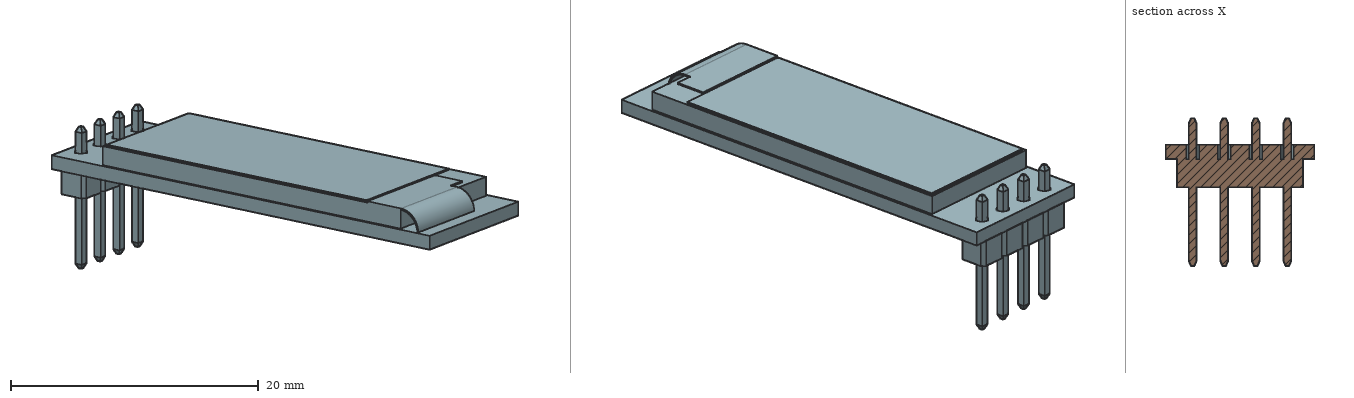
import cadquery as cq

BOARD_LENGTH = 38.0
BOARD_WIDTH = 12.0
BOARD_THICKNESS = 1.18

PIN_COUNT = 4
PIN_PITCH = 2.55
HEADER_INSET = 0.057
PIN_SIZE = 0.65
PIN_RISE = 2.13
PIN_TOTAL = 11.95
PIN_TIP_SIZE = 0.25
PIN_TIP_LENGTH = 0.4
HOLE_DIAMETER = 1.03
HOUSING_HEIGHT = 2.28
HOUSING_CHAMFER = 0.3

PANEL_START = 4.98
PANEL_LENGTH = 29.95
PANEL_WIDTH = 11.55
DISPLAY_HEIGHT = 1.7
FILM_THICKNESS = 0.1
GLASS_LENGTH = 26.15
GLASS_INSET = 0.23

RIBBON_GAP = 0.23
RIBBON_WIDE_LENGTH = 2.75
RIBBON_WIDE_WIDTH = 9.12
RIBBON_WIDTH = 7.55
CURL_RADIUS = 1.8

board_top = BOARD_THICKNESS
center_y = BOARD_WIDTH / 2
pin_x = HEADER_INSET + PIN_PITCH / 2
pin_places = [
    (pin_x, center_y + (i - (PIN_COUNT - 1) / 2) * PIN_PITCH) for i in range(PIN_COUNT)
]
pin_top = board_top + PIN_RISE
pin_bottom = pin_top - PIN_TOTAL
panel_height = DISPLAY_HEIGHT - FILM_THICKNESS
panel_top = board_top + panel_height
display_top = board_top + DISPLAY_HEIGHT
panel_end = PANEL_START + PANEL_LENGTH
panel_front = center_y - PANEL_WIDTH / 2
glass_start = PANEL_START + GLASS_INSET
ribbon_start = glass_start + GLASS_LENGTH + RIBBON_GAP


def block(x, y, z, length, width, height):
    """Box with its lowest corner at (x, y, z)."""
    return cq.Workplane("XY").box(length, width, height, centered=False).translate((x, y, z))


def make_board():
    board = block(0, 0, 0, BOARD_LENGTH, BOARD_WIDTH, BOARD_THICKNESS)
    holes = (
        cq.Workplane("XY").pushPoints(pin_places).circle(HOLE_DIAMETER / 2).extrude(BOARD_THICKNESS)
    )
    return board.cut(holes)


def make_housing(x, y):
    """Plastic block around one pin, with chamfered upright corners."""
    return (
        cq.Workplane("XY", origin=(x, y, -HOUSING_HEIGHT))
        .rect(PIN_PITCH, PIN_PITCH)
        .extrude(HOUSING_HEIGHT)
        .edges("|Z")
        .chamfer(HOUSING_CHAMFER)
    )


def make_pin_tip(x, y, base_z, direction):
    """Blunt pyramid from base_z, pointing up (direction 1) or down (direction -1)."""
    return (
        cq.Workplane(cq.Plane(origin=(x, y, base_z), xDir=(1, 0, 0), normal=(0, 0, direction)))
        .rect(PIN_SIZE, PIN_SIZE)
        .workplane(offset=PIN_TIP_LENGTH)
        .rect(PIN_TIP_SIZE, PIN_TIP_SIZE)
        .loft(ruled=True)
    )


def make_pin(x, y):
    shank_bottom = pin_bottom + PIN_TIP_LENGTH
    shank_top = pin_top - PIN_TIP_LENGTH
    shank = (
        cq.Workplane("XY", origin=(x, y, shank_bottom))
        .rect(PIN_SIZE, PIN_SIZE)
        .extrude(shank_top - shank_bottom)
    )
    return shank.union(make_pin_tip(x, y, shank_top, 1)).union(make_pin_tip(x, y, shank_bottom, -1))


def make_display():
    panel = block(PANEL_START, panel_front, board_top, PANEL_LENGTH, PANEL_WIDTH, panel_height)
    glass = block(
        glass_start,
        panel_front + GLASS_INSET,
        panel_top,
        GLASS_LENGTH,
        PANEL_WIDTH - 2 * GLASS_INSET,
        FILM_THICKNESS,
    )
    return panel.union(glass)


def make_ribbon():
    wide = block(
        ribbon_start, panel_front, panel_top, RIBBON_WIDE_LENGTH, RIBBON_WIDE_WIDTH, FILM_THICKNESS
    )
    narrow = block(
        ribbon_start, panel_front, panel_top, panel_end - ribbon_start, RIBBON_WIDTH, FILM_THICKNESS
    )
    curl_center_z = display_top - CURL_RADIUS
    curl = (
        cq.Workplane("XZ", origin=(panel_end, panel_front + RIBBON_WIDTH, curl_center_z))
        .circle(CURL_RADIUS)
        .circle(CURL_RADIUS - FILM_THICKNESS)
        .extrude(RIBBON_WIDTH)
    )
    quarter = block(panel_end, panel_front, board_top, CURL_RADIUS, RIBBON_WIDTH, CURL_RADIUS)
    return wide.union(narrow).union(curl.intersect(quarter))


result = make_board().union(make_display()).union(make_ribbon())
for place_x, place_y in pin_places:
    result = result.union(make_housing(place_x, place_y)).union(make_pin(place_x, place_y))